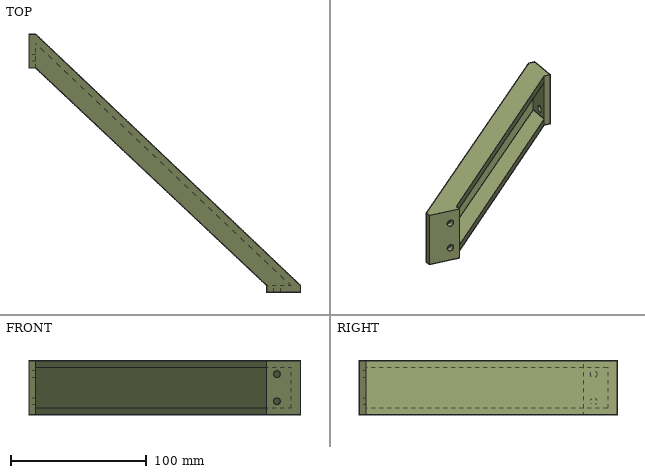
import cadquery as cq
import math

LENGTH_X = 200.0
LENGTH_Y = 190.0
HEIGHT = 40.0
PAD_WIDTH = 25.0
PAD_THICKNESS = 5.0
WEB_THICKNESS = 5.0
FLANGE_THICKNESS = 5.0
HOLE_DIAMETER = 5.0
HOLE_FROM_PAD_EDGE = 7.5
HOLE_FROM_FLANGE_FACE = 10.0

hole_heights = (HOLE_FROM_FLANGE_FACE, HEIGHT - HOLE_FROM_FLANGE_FACE)
opening_end_x = LENGTH_X - PAD_WIDTH
opening_end_y = LENGTH_Y - PAD_WIDTH

back_run_x = LENGTH_X - PAD_THICKNESS
back_run_y = LENGTH_Y - PAD_THICKNESS
back_length = math.hypot(back_run_x, back_run_y)
web_shift_x = WEB_THICKNESS * back_length / back_run_y
web_shift_y = WEB_THICKNESS * back_length / back_run_x


def make_body():
    """Solid diagonal bar with a flat pad at each end."""
    outline = [
        (0, LENGTH_Y),
        (PAD_THICKNESS, LENGTH_Y),
        (LENGTH_X, PAD_THICKNESS),
        (LENGTH_X, 0),
        (opening_end_x, 0),
        (opening_end_x, PAD_THICKNESS),
        (PAD_THICKNESS, opening_end_y),
        (0, opening_end_y),
    ]
    return cq.Workplane("XY").polyline(outline).close().extrude(HEIGHT)


def make_channel():
    """Cavity between the flanges, reaching in behind both pads to the web."""
    outline = [
        (PAD_THICKNESS, opening_end_y),
        (PAD_THICKNESS, LENGTH_Y - web_shift_y),
        (LENGTH_X - web_shift_x, PAD_THICKNESS),
        (opening_end_x, PAD_THICKNESS),
    ]
    channel_height = HEIGHT - 2 * FLANGE_THICKNESS
    floor = cq.Workplane("XY").workplane(offset=FLANGE_THICKNESS)
    return floor.polyline(outline).close().extrude(channel_height)


def make_hole(start, direction):
    """Cutter for one screw hole through the thickness of a pad."""
    return cq.Workplane(
        cq.Solid.makeCylinder(
            HOLE_DIAMETER / 2, PAD_THICKNESS, cq.Vector(*start), cq.Vector(*direction)
        )
    )


result = make_body().cut(make_channel())
for z in hole_heights:
    result = result.cut(make_hole((opening_end_x + HOLE_FROM_PAD_EDGE, 0, z), (0, 1, 0)))
    result = result.cut(make_hole((0, opening_end_y + HOLE_FROM_PAD_EDGE, z), (1, 0, 0)))